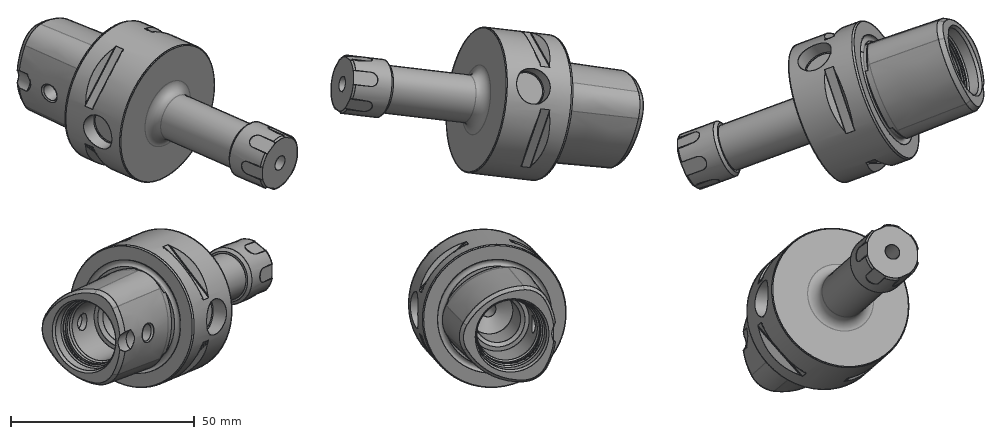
import math

import cadquery as cq


SHANK_LENGTH = 23.9
LOBE_OFFSET = 6.8
LOBE_RADIUS = 8.1
TAPER_SLOPE = 1 / 40
RELIEF_LENGTH = 1.7
RELIEF_RADIUS = 14.0
TIP_CHAMFER_LENGTH = 1.4
TIP_CHAMFER_HEIGHT = 0.8

FLANGE_LENGTH = 20.0
FLANGE_RADIUS = 20.0
FLANGE_FRONT_CHAMFER = 0.6
FLANGE_FRONT_CHAMFER_HEIGHT = 0.25
FLANGE_BACK_CHAMFER = 0.25
FACE_GROOVE_OUTER_RADIUS = 15.9
NECK_RADIUS = 6.55
NECK_FILLET = 3.0
NECK_END = 48.0

BORE_RADIUS = 8.5
MOUTH_PROFILE = [
    (0, 10.25),
    (0.8, 9.75),
    (3.6, 9.75),
    (4.0, 9.3),
    (4.3, 9.3),
    (4.5, 8.9),
    (4.95, 9.4),
    (5.5, 9.4),
    (5.5, 8.9),
    (6.6, 8.9),
    (7.3, BORE_RADIUS),
]
BORE_DEPTH = 18.5
THREAD_RADIUS = 6.3
THREAD_CHAMFER = 1.0
THREAD_DEPTH = 30.2
COOLANT_RADIUS = 2.1
DRILL_POINT_HALF_ANGLE = math.radians(59)

CROSS_HOLE_DEPTH = 12.4
CROSS_HOLE_RADIUS = 2.35
CROSS_HOLE_MOUTH_RADIUS = 2.85
CROSS_HOLE_MOUTH_Y = 12.8
CROSS_HOLE_END_Y = 10.1
NOTCH_RADIUS = 3.5
NOTCH_AXIS_Y = 14.5
NOTCH_LENGTH = 4.1

POCKET_RADIUS = 5.0
POCKET_X = 11.9
POCKET_FLOOR_Y = 15.45
POCKET_FLOOR_CHAMFER = 0.25
SLOT_X = 8.0
SLOT_FLOOR_DISTANCE = 17.7
SLOT_FLOOR_WIDTH = 2.7
SLOT_MOUTH_WIDTH = 5.2
SLOT_WALL_HEIGHT = 0.3
SLOT_COUNT = 4

OVERALL_LENGTH = 84.0
NUT_RADIUS = 8.0
NUT_BACK_CHAMFER = 0.8
NUT_FRONT_CHAMFER = 0.5
NUT_SLOT_COUNT = 6
NUT_SLOT_WIDTH = 4.0
NUT_SLOT_LENGTH = 7.05
NUT_SLOT_TIP_DEPTH = 0.2
NUT_SLOT_END_DEPTH = 0.7

TIP_X = -SHANK_LENGTH
NUT_END = OVERALL_LENGTH - SHANK_LENGTH


def revolve_about_x(outline):
    """Turn a closed outline of (x, radius) into a solid around the X axis."""
    return outline.close().revolve(360, (0, 0, 0), (1, 0, 0))


def polar(radius, degrees):
    """Point in the YZ plane; 0 degrees is +Y."""
    angle = math.radians(degrees)
    return radius * math.cos(angle), radius * math.sin(angle)


def lobed_outline(x, lobe_radius):
    """Rounded triangle at X = x, with lobes at 0, 120 and 240 degrees."""
    side_radius = lobe_radius + LOBE_OFFSET * math.sqrt(3)

    def lobe_point(lobe, degrees):
        centre_y, centre_z = polar(LOBE_OFFSET, lobe)
        dy, dz = polar(lobe_radius, degrees)
        return centre_y + dy, centre_z + dz

    outline = cq.Workplane("YZ", origin=(x, 0, 0)).moveTo(*lobe_point(0, -30))
    for lobe in (0, 120, 240):
        side_middle = polar(side_radius - LOBE_OFFSET, lobe + 60)
        outline = outline.threePointArc(lobe_point(lobe, lobe), lobe_point(lobe, lobe + 30))
        outline = outline.threePointArc(side_middle, lobe_point(lobe + 120, lobe + 90))
    return outline.close()


def make_shank():
    taper_length = SHANK_LENGTH - RELIEF_LENGTH - TIP_CHAMFER_LENGTH
    taper_start_radius = LOBE_RADIUS - taper_length * TAPER_SLOPE
    taper_angle = math.degrees(math.atan(TAPER_SLOPE))
    chamfer_angle = math.degrees(math.atan(TIP_CHAMFER_HEIGHT / TIP_CHAMFER_LENGTH))

    tip = lobed_outline(TIP_X, taper_start_radius - TIP_CHAMFER_HEIGHT)
    tip = tip.extrude(TIP_CHAMFER_LENGTH, taper=-chamfer_angle)
    taper = lobed_outline(TIP_X + TIP_CHAMFER_LENGTH, taper_start_radius)
    taper = taper.extrude(taper_length, taper=-taper_angle)
    relief = lobed_outline(-RELIEF_LENGTH, LOBE_RADIUS).extrude(RELIEF_LENGTH)

    lobe_reach = LOBE_OFFSET + LOBE_RADIUS
    trim_step = lobe_reach - RELIEF_RADIUS
    trim = revolve_about_x(
        cq.Workplane("XY")
        .moveTo(-RELIEF_LENGTH, 0)
        .lineTo(-RELIEF_LENGTH, lobe_reach)
        .lineTo(-RELIEF_LENGTH + trim_step, RELIEF_RADIUS)
        .lineTo(0, RELIEF_RADIUS)
        .lineTo(0, 0)
    )
    return tip.union(taper).union(relief.intersect(trim))


def make_flange_and_neck():
    fillet_middle = NECK_FILLET * (1 - math.sqrt(0.5))
    groove_radius = (FACE_GROOVE_OUTER_RADIUS - RELIEF_RADIUS) / 2
    return revolve_about_x(
        cq.Workplane("XY")
        .moveTo(0, 0)
        .lineTo(0, RELIEF_RADIUS)
        .threePointArc((groove_radius, RELIEF_RADIUS + groove_radius), (0, FACE_GROOVE_OUTER_RADIUS))
        .lineTo(0, FLANGE_RADIUS - FLANGE_FRONT_CHAMFER_HEIGHT)
        .lineTo(FLANGE_FRONT_CHAMFER, FLANGE_RADIUS)
        .lineTo(FLANGE_LENGTH - FLANGE_BACK_CHAMFER, FLANGE_RADIUS)
        .lineTo(FLANGE_LENGTH, FLANGE_RADIUS - FLANGE_BACK_CHAMFER)
        .lineTo(FLANGE_LENGTH, NECK_RADIUS + NECK_FILLET)
        .threePointArc(
            (FLANGE_LENGTH + fillet_middle, NECK_RADIUS + fillet_middle),
            (FLANGE_LENGTH + NECK_FILLET, NECK_RADIUS),
        )
        .lineTo(NECK_END, NECK_RADIUS)
        .lineTo(NECK_END, 0)
    )


def make_bore():
    """Stepped bore that runs through the whole holder."""
    drill_point = (THREAD_RADIUS - COOLANT_RADIUS) / math.tan(DRILL_POINT_HALF_ANGLE)
    profile = MOUTH_PROFILE + [
        (BORE_DEPTH, BORE_RADIUS),
        (BORE_DEPTH, THREAD_RADIUS + THREAD_CHAMFER),
        (BORE_DEPTH + THREAD_CHAMFER, THREAD_RADIUS),
        (THREAD_DEPTH, THREAD_RADIUS),
        (THREAD_DEPTH + drill_point, COOLANT_RADIUS),
        (SHANK_LENGTH + NECK_END, COOLANT_RADIUS),
        (SHANK_LENGTH + NECK_END, 0),
        (0, 0),
    ]
    return revolve_about_x(cq.Workplane("XY", origin=(TIP_X, 0, 0)).polyline(profile))


def make_cross_hole():
    """Hole drilled along +Y through the near wall, its point ending in the far wall."""
    drill_point = CROSS_HOLE_RADIUS / math.tan(DRILL_POINT_HALF_ANGLE)
    chamfer = CROSS_HOLE_MOUTH_RADIUS - CROSS_HOLE_RADIUS
    return (
        cq.Workplane("XY", origin=(TIP_X + CROSS_HOLE_DEPTH, 0, 0))
        .moveTo(0, -FLANGE_RADIUS)
        .lineTo(CROSS_HOLE_MOUTH_RADIUS, -FLANGE_RADIUS)
        .lineTo(CROSS_HOLE_MOUTH_RADIUS, -CROSS_HOLE_MOUTH_Y)
        .lineTo(CROSS_HOLE_RADIUS, -CROSS_HOLE_MOUTH_Y + chamfer)
        .lineTo(CROSS_HOLE_RADIUS, CROSS_HOLE_END_Y)
        .lineTo(0, CROSS_HOLE_END_Y + drill_point)
        .close()
        .revolve(360, (0, 0, 0), (0, 1, 0))
    )


def make_notch():
    """Round groove along X in the -Y side of the shank tip, ending in a 90 degree cone."""
    return (
        cq.Workplane("XY", origin=(TIP_X, -NOTCH_AXIS_Y, 0))
        .moveTo(0, 0)
        .lineTo(0, NOTCH_RADIUS)
        .lineTo(NOTCH_LENGTH, NOTCH_RADIUS)
        .lineTo(NOTCH_LENGTH + NOTCH_RADIUS, 0)
        .close()
        .revolve(360, (0, 0, 0), (1, 0, 0))
    )


def make_pocket():
    """Round blind pocket in the -Y side of the flange."""
    pocket = (
        cq.Workplane("XZ", origin=(POCKET_X, -POCKET_FLOOR_Y, 0))
        .circle(POCKET_RADIUS)
        .extrude(FLANGE_RADIUS - POCKET_FLOOR_Y)
    )
    return pocket.faces(">Y").chamfer(POCKET_FLOOR_CHAMFER)


def make_gripper_slot():
    """Slot along Z with flared sides, on the -Y side of the flange."""
    floor_half = SLOT_FLOOR_WIDTH / 2
    mouth_half = SLOT_MOUTH_WIDTH / 2
    flare_y = -SLOT_FLOOR_DISTANCE - SLOT_WALL_HEIGHT
    return (
        cq.Workplane("XY", origin=(SLOT_X, 0, 0))
        .polyline([
            (-floor_half, -SLOT_FLOOR_DISTANCE),
            (floor_half, -SLOT_FLOOR_DISTANCE),
            (floor_half, flare_y),
            (mouth_half, -FLANGE_RADIUS),
            (-mouth_half, -FLANGE_RADIUS),
            (-floor_half, flare_y),
        ])
        .close()
        .extrude(FLANGE_RADIUS, both=True)
    )


def make_holder():
    holder = make_flange_and_neck().union(make_shank())
    holder = holder.cut(make_bore()).cut(make_cross_hole()).cut(make_notch())
    pocket = make_pocket()
    holder = holder.cut(pocket).cut(pocket.mirror("XZ"))
    slot = make_gripper_slot()
    for index in range(SLOT_COUNT):
        angle = (index + 0.5) * 360 / SLOT_COUNT
        holder = holder.cut(slot.rotate((0, 0, 0), (1, 0, 0), angle))
    return holder


def make_nut_slot():
    """Round-ended wrench slot on the -Y side, deeper towards the nut's front end."""
    start_x = NUT_END - NUT_SLOT_LENGTH
    end_radius = NUT_SLOT_WIDTH / 2
    wedge = (
        cq.Workplane("XY")
        .polyline([
            (start_x, -NUT_RADIUS + NUT_SLOT_TIP_DEPTH),
            (NUT_END, -NUT_RADIUS + NUT_SLOT_END_DEPTH),
            (NUT_END, -NUT_RADIUS),
            (start_x, -NUT_RADIUS),
        ])
        .close()
        .extrude(NUT_SLOT_WIDTH, both=True)
    )
    round_ended = (
        cq.Workplane("XZ")
        .moveTo(NUT_END, -end_radius)
        .lineTo(start_x + end_radius, -end_radius)
        .threePointArc((start_x, 0), (start_x + end_radius, end_radius))
        .lineTo(NUT_END, end_radius)
        .close()
        .extrude(NUT_RADIUS)
    )
    return wedge.intersect(round_ended)


def make_nut():
    nut = (
        cq.Workplane("YZ", origin=(NECK_END, 0, 0))
        .circle(NUT_RADIUS)
        .extrude(NUT_END - NECK_END)
    )
    nut = nut.faces("<X").chamfer(NUT_BACK_CHAMFER)
    nut = nut.faces(">X").chamfer(NUT_FRONT_CHAMFER)
    nut = nut.faces(">X").workplane().hole(2 * COOLANT_RADIUS)
    slot = make_nut_slot()
    for index in range(NUT_SLOT_COUNT):
        nut = nut.cut(slot.rotate((0, 0, 0), (1, 0, 0), index * 360 / NUT_SLOT_COUNT))
    return nut


holder = make_holder()
nut = make_nut()
result = cq.Compound.makeCompound([holder.val(), nut.val()])